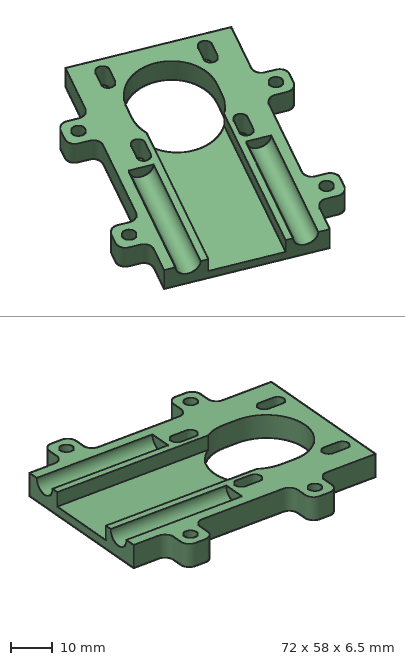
import cadquery as cq

plate_length = 72.0
plate_width = 42.05
plate_thickness = 6.5

overall_width = 58.0
tab_width = 8.0
tab_round = 2.5
tab_hole_diameter = 3.5
tab_centres_x = (21.0, 58.0)
tab_hole_y = overall_width / 2 - tab_width / 2

motor_x = 19.0
motor_travel = 4.0
opening_diameter = 23.0
slot_spacing = 26.0
slot_width = 3.5
slot_length = slot_width + motor_travel

channel_width = 19.6
channel_depth = 4.0

groove_diameter = 6.3
groove_length = 34.4
groove_y = 14.9


def make_outline():
    """Plate with four tabs, rounded at their tips and roots."""
    plate = cq.Workplane("XY").box(
        plate_length, plate_width, plate_thickness, centered=(False, True, False)
    )
    for x in tab_centres_x:
        tab_pair = (
            cq.Workplane("XY")
            .center(x, 0)
            .rect(tab_width, overall_width)
            .extrude(plate_thickness)
            .edges("|Z")
            .fillet(tab_round)
        )
        plate = plate.union(tab_pair)

    tip_round_start = overall_width / 2 - tab_round
    root_zone = cq.selectors.BoxSelector(
        (tab_width / 2, -tip_round_start + tab_round / 2, 0),
        (plate_length - tab_width / 2, tip_round_start - tab_round / 2, plate_thickness),
    )
    return plate.edges("|Z").edges(root_zone).fillet(tab_round)


def make_tab_holes():
    centres = [(x, side * tab_hole_y) for x in tab_centres_x for side in (-1, 1)]
    return cq.Workplane("XY").pushPoints(centres).circle(tab_hole_diameter / 2).extrude(plate_thickness)


def make_motor_cutouts():
    """Elongated opening and four slots that let the motor slide along X."""
    opening = (
        cq.Workplane("XY")
        .center(motor_x, 0)
        .slot2D(opening_diameter + motor_travel, opening_diameter)
        .extrude(plate_thickness)
    )
    slots = (
        cq.Workplane("XY")
        .center(motor_x, 0)
        .rarray(slot_spacing, slot_spacing, 2, 2)
        .slot2D(slot_length, slot_width)
        .extrude(plate_thickness)
    )
    return opening.union(slots)


def make_channel():
    return cq.Workplane("XY", origin=(motor_x, 0, plate_thickness - channel_depth)).box(
        plate_length - motor_x, channel_width, channel_depth, centered=(False, True, False)
    )


def make_grooves():
    return (
        cq.Workplane("YZ", origin=(plate_length - groove_length, 0, plate_thickness))
        .pushPoints([(-groove_y, 0), (groove_y, 0)])
        .circle(groove_diameter / 2)
        .extrude(groove_length)
    )


result = (
    make_outline()
    .cut(make_tab_holes())
    .cut(make_motor_cutouts())
    .cut(make_channel())
    .cut(make_grooves())
)